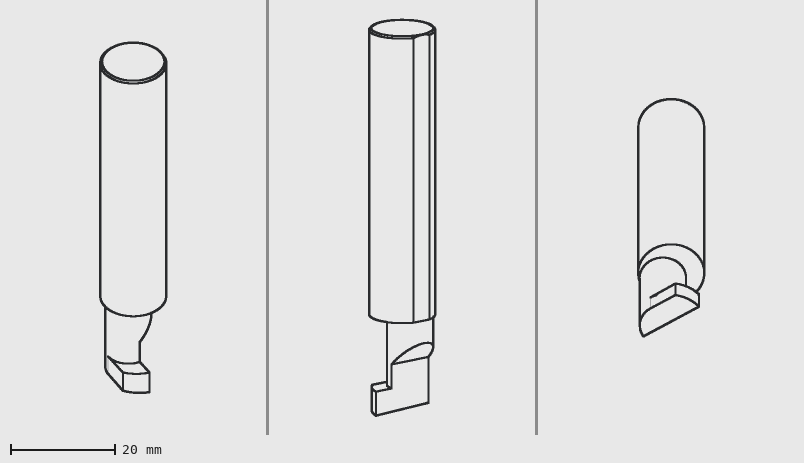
import cadquery as cq
import math

length = 76.2
shank_diameter = 12.7
shank_radius = shank_diameter / 2
shank_bottom = 19.1
top_chamfer = 0.4
flat_depth = 0.3

neck_diameter = 8.9
neck_radius = neck_diameter / 2
neck_x = neck_radius - shank_radius
ramp_bottom = 9.6
ramp_angle = 45.0

head_top = 4.8
head_corner_x = 3.8
nose_radius = 7.6
relief_angle_x = 2.0
relief_angle_y = 3.0


def make_shank():
    shank = (
        cq.Workplane("XY", origin=(0, 0, shank_bottom))
        .circle(shank_radius)
        .extrude(length - shank_bottom)
        .faces(">Z")
        .chamfer(top_chamfer)
    )
    flat_cutter = cq.Workplane("XY").box(
        shank_diameter, shank_diameter, length, centered=(True, False, False)
    )
    return shank.cut(flat_cutter.translate((0, shank_radius - flat_depth, 0)))


def make_neck():
    neck = cq.Workplane("XY").center(neck_x, 0).circle(neck_radius).extrude(shank_bottom)
    ramp_top = ramp_bottom + neck_diameter * math.tan(math.radians(ramp_angle))
    half_cutter = (
        cq.Workplane("YZ")
        .polyline([(0, 0), (0, ramp_bottom), (neck_diameter, ramp_top), (neck_diameter, 0)])
        .close()
        .extrude(shank_diameter, both=True)
    )
    return neck.cut(half_cutter)


def make_head():
    return (
        cq.Workplane("XY")
        .moveTo(neck_x, 0)
        .lineTo(neck_x, -neck_radius)
        .lineTo(head_corner_x, -neck_radius)
        .radiusArc((shank_radius, 0), -nose_radius)
        .close()
        .extrude(head_top)
    )


def make_relief_cutter():
    block = cq.Workplane("XY").box(length, length, length).translate((0, 0, -length / 2))
    block = block.rotate((0, 0, 0), (0, 1, 0), relief_angle_x)
    block = block.rotate((0, 0, 0), (1, 0, 0), -relief_angle_y)
    return block.translate((shank_radius, 0, 0))


result = make_shank().union(make_neck()).union(make_head()).cut(make_relief_cutter())